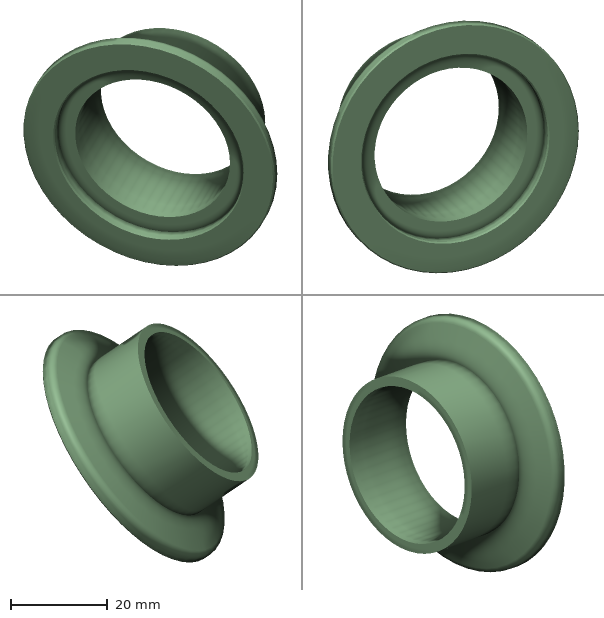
import cadquery as cq
import math

flange_radius = 27.5
tube_radius = 19.05
bore_radius = 16.95
length = 19.0
flange_thickness = 5.1
cone_angle = math.radians(15)
rim_fillet = 1.5
rim_chamfer = 0.3
recess_radius = 20.6
recess_depth = 2.55
recess_chamfer = 0.3

face_y = -length / 2
tube_end_y = face_y + length
cone_top_y = face_y + flange_thickness
cone_top_radius = tube_radius
cone_foot_y = cone_top_y - (flange_radius - cone_top_radius) * math.tan(cone_angle)

turn_angle = math.pi / 2 - cone_angle
rim_arc_start_y = cone_foot_y - rim_fillet * math.tan(turn_angle / 2)
rim_arc_center_radius = flange_radius - rim_fillet


def rim_arc_point(angle):
    """Point on the rim arc, at an angle measured from the rim's outward direction."""
    return (
        rim_arc_center_radius + rim_fillet * math.cos(angle),
        rim_arc_start_y + rim_fillet * math.sin(angle),
    )


section = (
    cq.Workplane("XY")
    .moveTo(recess_radius + recess_chamfer, face_y)
    .lineTo(flange_radius - rim_chamfer, face_y)
    .lineTo(flange_radius, face_y + rim_chamfer)
    .lineTo(flange_radius, rim_arc_start_y)
    .threePointArc(rim_arc_point(turn_angle / 2), rim_arc_point(turn_angle))
    .lineTo(cone_top_radius, cone_top_y)
    .lineTo(tube_radius, tube_end_y)
    .lineTo(bore_radius, tube_end_y)
    .lineTo(bore_radius, face_y + recess_depth)
    .lineTo(recess_radius, face_y + recess_depth)
    .lineTo(recess_radius, face_y + recess_chamfer)
    .close()
)
result = section.revolve(360, (0, 0, 0), (0, 1, 0))